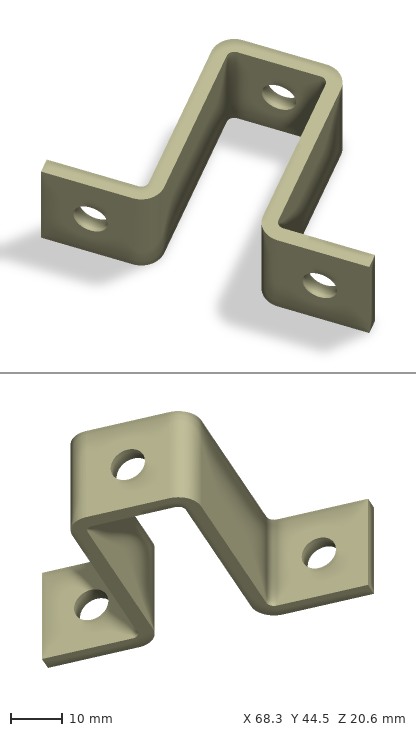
import cadquery as cq

length = 68.3
depth = 44.5
strip_width = 20.65
thickness = 3.2
inner_radius = 1.6
hat_width = 27.0
hole_diameter = 7.2
hole_spacing = 23.85

outer_radius = inner_radius + thickness
channel_width = hat_width - 2 * thickness


def block(width, y_size, y_start):
    """Full-height block centred on X and Z, starting at y_start."""
    return cq.Workplane("XY").box(width, y_size, strip_width).translate((0, y_start + y_size / 2, 0))


def vertical_edges_at(x, y):
    """Select the mirrored pair of vertical edges at X = -x and X = +x."""
    reach = thickness / 4
    selectors = [
        cq.selectors.BoxSelector(
            (side * x - reach, y - reach, -reach),
            (side * x + reach, y + reach, reach),
        )
        for side in (-1, 1)
    ]
    return selectors[0] + selectors[1]


flanges = block(length, thickness, 0)
hat = block(hat_width, depth, 0)
channel = block(channel_width, depth - thickness, 0)
bracket = flanges.union(hat).cut(channel)

bends = [
    (hat_width / 2, depth, outer_radius),
    (channel_width / 2, depth - thickness, inner_radius),
    (hat_width / 2, thickness, inner_radius),
    (channel_width / 2, 0, outer_radius),
]
for x, y, radius in bends:
    bracket = bracket.edges(vertical_edges_at(x, y)).fillet(radius)

holes = (
    cq.Workplane("XZ")
    .pushPoints([(i * hole_spacing, 0) for i in (-1, 0, 1)])
    .circle(hole_diameter / 2)
    .extrude(-depth)
)

result = bracket.cut(holes)